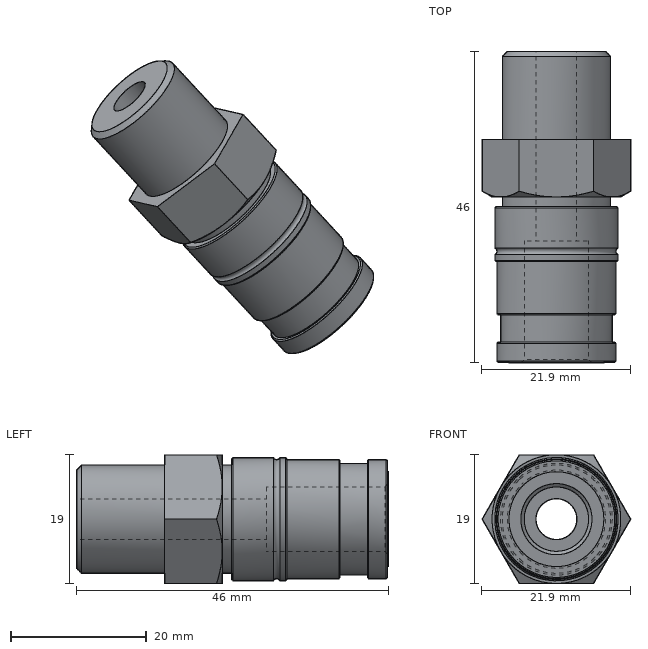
import cadquery as cq
import math


flange_start = 0.1
flange_end = 3.1
release_neck_end = 7.1
sleeve_end = 14.95
groove_start = 16.0
groove_end = 16.95
collar_end = 23.1
hex_start = 24.5
hex_end = 33.0
total_length = 46.0

face_land_radius = 7.0
flange_radius = 8.8
release_neck_radius = 8.25
sleeve_radius = 8.8
collar_radius = 9.1
groove_depth = 0.3
shank_radius = 8.0
hex_across_flats = 19.0
hex_sides = 6

edge_chamfer = 0.2
shank_chamfer = 0.75
hex_chamfer_angle = 30.0

through_radius = 3.0
socket_radius = 4.75
socket_mouth_chamfer = 0.5
socket_depth = 18.0


def cylinder(start, end, radius):
    """Cylinder along Y between two stations."""
    return cq.Workplane("XZ", origin=(0, start, 0)).circle(radius).extrude(start - end)


def turned_band(start, end, radius, front_chamfer=0.0, back_chamfer=0.0):
    """Cylinder along Y with optional chamfers on its front and back edges."""
    band = cylinder(start, end, radius)
    if front_chamfer:
        band = band.faces("<Y").chamfer(front_chamfer)
    if back_chamfer:
        band = band.faces(">Y").chamfer(back_chamfer)
    return band


def hexagon():
    """Hexagon with two flats facing +Z and -Z, its front corners turned to a cone."""
    flat_radius = hex_across_flats / 2
    corner_radius = flat_radius / math.cos(math.pi / hex_sides)
    cone_length = (corner_radius - flat_radius) * math.tan(math.radians(hex_chamfer_angle))
    prism = (
        cq.Workplane("XZ", origin=(0, hex_start, 0))
        .polygon(hex_sides, 2 * corner_radius)
        .extrude(hex_start - hex_end)
    )
    envelope = (
        cq.Workplane("XY")
        .moveTo(0, hex_start)
        .lineTo(flat_radius, hex_start)
        .lineTo(corner_radius, hex_start + cone_length)
        .lineTo(corner_radius, hex_end)
        .lineTo(0, hex_end)
        .close()
        .revolve(360, (0, 0, 0), (0, 1, 0))
    )
    return prism.intersect(envelope)


def outside():
    """Solid outer form, from the release flange at the front to the shank at the back."""
    bands = [
        turned_band(0, flange_start, face_land_radius),
        turned_band(flange_start, flange_end, flange_radius, edge_chamfer, edge_chamfer),
        turned_band(flange_end, release_neck_end, release_neck_radius),
        turned_band(release_neck_end, sleeve_end, sleeve_radius, edge_chamfer),
        turned_band(sleeve_end, collar_end, collar_radius, edge_chamfer, edge_chamfer),
        turned_band(collar_end, total_length, shank_radius, 0, shank_chamfer),
    ]
    body = hexagon()
    for band in bands:
        body = body.union(band)
    return body


def collar_groove():
    """Shallow ring groove with a round bottom, cut into the collar."""
    groove_middle = (groove_start + groove_end) / 2
    profile = (
        cq.Workplane("XY")
        .moveTo(collar_radius, groove_start)
        .threePointArc((collar_radius - groove_depth, groove_middle), (collar_radius, groove_end))
        .close()
    )
    return profile.revolve(360, (0, 0, 0), (0, 1, 0))


def passage():
    """Tube socket with a tapered mouth, opening into the smaller through bore."""
    profile = (
        cq.Workplane("XY")
        .lineTo(socket_radius + socket_mouth_chamfer, 0)
        .lineTo(socket_radius, socket_mouth_chamfer)
        .lineTo(socket_radius, socket_depth)
        .lineTo(through_radius, socket_depth)
        .lineTo(through_radius, total_length)
        .lineTo(0, total_length)
        .close()
    )
    return profile.revolve(360, (0, 0, 0), (0, 1, 0))


result = outside().cut(collar_groove()).cut(passage())